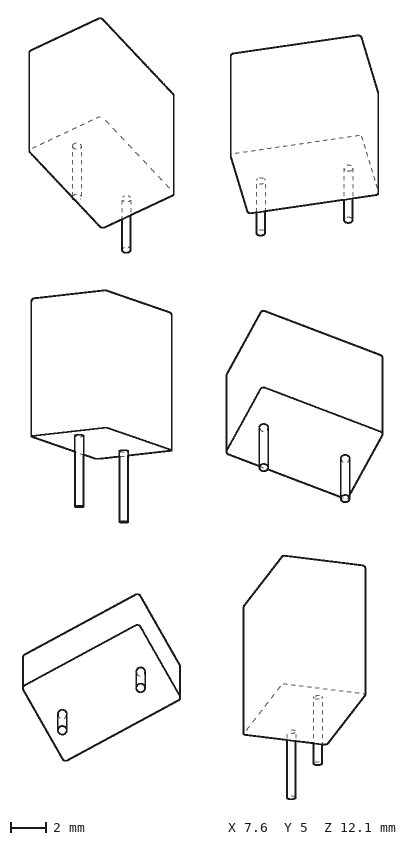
import cadquery as cq

body_length = 7.6
body_width = 5.0
body_height = 8.0
edge_radius = 0.2

lead_diameter = 0.5
lead_length = 4.1
lead_pitch = 5.08


def make_body():
    """Box with rounded upright and top edges and a sharp bottom rim."""
    box = cq.Workplane("XY").box(
        body_length, body_width, body_height, centered=(True, True, False)
    )
    return box.edges("|Z or >Z").fillet(edge_radius)


def make_leads():
    """Two straight leads, symmetric about the body centre along X."""
    lead_centres = [(-lead_pitch / 2, 0), (lead_pitch / 2, 0)]
    return (
        cq.Workplane("XY")
        .pushPoints(lead_centres)
        .circle(lead_diameter / 2)
        .extrude(-lead_length)
    )


result = make_body().union(make_leads())